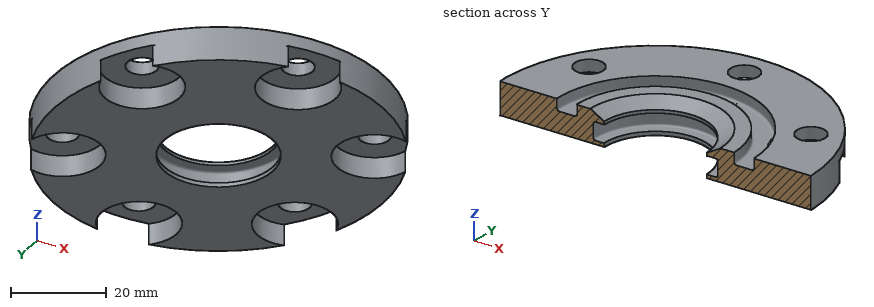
import cadquery as cq
import math

FLANGE_DIAMETER = 79.0
FLANGE_HEIGHT = 8.0

BOLT_COUNT = 6
BOLT_CIRCLE_DIAMETER = 65.0
BOLT_HOLE_DIAMETER = 7.0
COUNTERBORE_DIAMETER = 18.0
COUNTERBORE_DEPTH = 5.0
FIRST_BOLT_ANGLE = 90.0

RING_OUTER_DIAMETER = 50.0
RING_INNER_DIAMETER = 40.0
RING_DEPTH = 2.8
RING_FILLET = 0.6

BORE_DIAMETER = 26.0
CONE_TOP_DIAMETER = 33.0
CONE_DEPTH = 2.0
SEAL_DIAMETER = 31.5
SEAL_BOTTOM = 1.0
SEAL_TOP = 5.2
SEAL_FILLET = 0.5


def make_disc(diameter, height, bottom=0.0):
    """Upright cylinder on the part axis."""
    return cq.Workplane("XY").workplane(offset=bottom).circle(diameter / 2).extrude(height)


def cut_ring_groove(body):
    """Annular groove in the top face with both bottom corners rounded."""
    bottom = FLANGE_HEIGHT - RING_DEPTH
    outer = make_disc(RING_OUTER_DIAMETER, RING_DEPTH, bottom)
    inner = make_disc(RING_INNER_DIAMETER, RING_DEPTH, bottom)
    ring = outer.cut(inner).faces("<Z").edges().fillet(RING_FILLET)
    return body.cut(ring)


def cut_central_bore(body):
    """Through bore, conical lead-in at the top and seal groove in the wall."""
    bore_radius = BORE_DIAMETER / 2
    bore = make_disc(BORE_DIAMETER, FLANGE_HEIGHT)
    cone = cq.Workplane(
        cq.Solid.makeCone(
            bore_radius,
            CONE_TOP_DIAMETER / 2,
            CONE_DEPTH,
            cq.Vector(0, 0, FLANGE_HEIGHT - CONE_DEPTH),
        )
    )
    seal = make_disc(SEAL_DIAMETER, SEAL_TOP - SEAL_BOTTOM, SEAL_BOTTOM).edges().fillet(SEAL_FILLET)
    return body.cut(bore).cut(cone).cut(seal)


def cut_bolt_holes(body):
    """Evenly spaced bolt holes with counterbores open to the underside."""
    for index in range(BOLT_COUNT):
        angle = math.radians(FIRST_BOLT_ANGLE + index * 360.0 / BOLT_COUNT)
        x = BOLT_CIRCLE_DIAMETER / 2 * math.cos(angle)
        y = BOLT_CIRCLE_DIAMETER / 2 * math.sin(angle)
        hole = make_disc(BOLT_HOLE_DIAMETER, FLANGE_HEIGHT)
        counterbore = make_disc(COUNTERBORE_DIAMETER, COUNTERBORE_DEPTH)
        body = body.cut(hole.union(counterbore).translate((x, y, 0)))
    return body


flange = make_disc(FLANGE_DIAMETER, FLANGE_HEIGHT)
flange = cut_ring_groove(flange)
flange = cut_central_bore(flange)
result = cut_bolt_holes(flange)